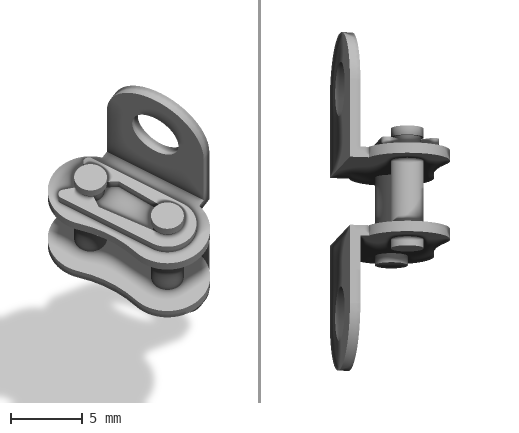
import cadquery as cq
import math

pitch = 6.34
plate_radius = 3.0
waist_radius = 8.65
sheet = 0.75
plate_gap = 4.85
tab_back = 4.22
tab_width = 8.0
tab_reach = 12.0
tab_hole_diameter = 3.82
pin_diameter = 2.3
neck_diameter = 2.0
rivet_height = 0.65
head_height = 0.65
groove_clearance = 0.26
clip_thickness = 0.65
clip_radius = 2.05
clip_tip_x = -4.73
clip_tip_round = 0.38
clip_throat = 1.58
cavity_corner_x = 1.5
cavity_corner_y = 1.32
cavity_root_angle = 47.0

pin_x = pitch / 2
neck_radius = neck_diameter / 2
plate_bottom = plate_gap / 2
plate_top = plate_bottom + sheet
head_bottom = plate_top + clip_thickness + groove_clearance
pin_bottom = -plate_top - rivet_height


def make_plate():
    """Upper figure-eight plate, with its back edge running out to the tab."""
    waist_center_y = -math.sqrt((plate_radius + waist_radius) ** 2 - pin_x ** 2)
    tangent_share = plate_radius / (plate_radius + waist_radius)
    tangent_x = pin_x * (1 - tangent_share)
    tangent_y = waist_center_y * tangent_share
    half_tab = tab_width / 2
    shoulder_y = math.sqrt(plate_radius ** 2 - (half_tab - pin_x) ** 2)
    return (
        cq.Workplane("XY", origin=(0, 0, plate_bottom))
        .moveTo(-tangent_x, tangent_y)
        .threePointArc((0, waist_center_y + waist_radius), (tangent_x, tangent_y))
        .threePointArc((pin_x + plate_radius, 0), (half_tab, shoulder_y))
        .lineTo(half_tab, tab_back)
        .lineTo(-half_tab, tab_back)
        .lineTo(-half_tab, shoulder_y)
        .threePointArc((-pin_x - plate_radius, 0), (-tangent_x, tangent_y))
        .close()
        .extrude(sheet)
    )


def make_tab():
    """Upright attachment tab with a round end and a concentric hole."""
    half_tab = tab_width / 2
    round_center_z = tab_reach - half_tab
    return (
        cq.Workplane("XZ", origin=(0, tab_back, 0))
        .moveTo(-half_tab, plate_bottom)
        .lineTo(half_tab, plate_bottom)
        .lineTo(half_tab, round_center_z)
        .threePointArc((0, tab_reach), (-half_tab, round_center_z))
        .close()
        .moveTo(0, round_center_z)
        .circle(tab_hole_diameter / 2)
        .extrude(sheet)
    )


def make_pin(x):
    """Pin through both plates, grooved above the upper plate for the clip."""
    shank = (
        cq.Workplane("XY", origin=(x, 0, pin_bottom))
        .circle(pin_diameter / 2)
        .extrude(plate_top - pin_bottom)
    )
    neck = (
        cq.Workplane("XY", origin=(x, 0, plate_top))
        .circle(neck_radius)
        .extrude(head_bottom - plate_top)
    )
    head = (
        cq.Workplane("XY", origin=(x, 0, head_bottom))
        .circle(pin_diameter / 2)
        .extrude(head_height)
    )
    return shank.union(neck).union(head)


def make_link():
    """Two mirrored plates with tabs, joined by the pins."""
    upper = make_plate().union(make_tab())
    link = upper.union(upper.mirror("XY"))
    for x in (-pin_x, pin_x):
        link = link.union(make_pin(x))
    return link


def make_clip_blank():
    """Clip outline with 45 degree mouth flanks and a parallel throat at the left neck."""
    tip_center_x = clip_tip_x + clip_tip_round
    tip_center_y = clip_radius - clip_tip_round
    flank_step = clip_tip_round * math.sqrt(0.5)
    flank_x = tip_center_x - flank_step
    flank_y = tip_center_y - flank_step
    throat_y = clip_throat / 2
    throat_x = flank_x + flank_y - throat_y
    return (
        cq.Workplane("XY", origin=(0, 0, plate_top))
        .moveTo(tip_center_x, clip_radius)
        .lineTo(pin_x, clip_radius)
        .threePointArc((pin_x + clip_radius, 0), (pin_x, -clip_radius))
        .lineTo(tip_center_x, -clip_radius)
        .threePointArc((clip_tip_x, -tip_center_y), (flank_x, -flank_y))
        .lineTo(throat_x, -throat_y)
        .lineTo(-pin_x, -throat_y)
        .lineTo(-pin_x, throat_y)
        .lineTo(throat_x, throat_y)
        .lineTo(flank_x, flank_y)
        .threePointArc((clip_tip_x, tip_center_y), (tip_center_x, clip_radius))
        .close()
        .extrude(clip_thickness)
    )


def make_clip_opening():
    """Tapered opening between the pins, tangent to the right neck."""
    corner_x = -pin_x + cavity_corner_x
    root_angle = math.radians(cavity_root_angle)
    root_x = -pin_x + neck_radius * math.cos(root_angle)
    root_y = neck_radius * math.sin(root_angle)
    run = pin_x - corner_x
    corner_angle = math.atan2(cavity_corner_y, -run)
    corner_distance = math.hypot(run, cavity_corner_y)
    tangent_angle = corner_angle - math.acos(neck_radius / corner_distance)
    tangent_x = pin_x + neck_radius * math.cos(tangent_angle)
    tangent_y = neck_radius * math.sin(tangent_angle)
    cavity = (
        cq.Workplane("XY", origin=(0, 0, plate_top))
        .moveTo(root_x, root_y)
        .lineTo(corner_x, cavity_corner_y)
        .lineTo(tangent_x, tangent_y)
        .lineTo(tangent_x, -tangent_y)
        .lineTo(corner_x, -cavity_corner_y)
        .lineTo(root_x, -root_y)
        .close()
        .extrude(clip_thickness)
    )
    necks = (
        cq.Workplane("XY", origin=(0, 0, plate_top))
        .pushPoints([(-pin_x, 0), (pin_x, 0)])
        .circle(neck_radius)
        .extrude(clip_thickness)
    )
    return cavity.union(necks)


link = make_link()
spring_clip = make_clip_blank().cut(make_clip_opening())

result = cq.Compound.makeCompound([link.solids().val(), spring_clip.solids().val()])